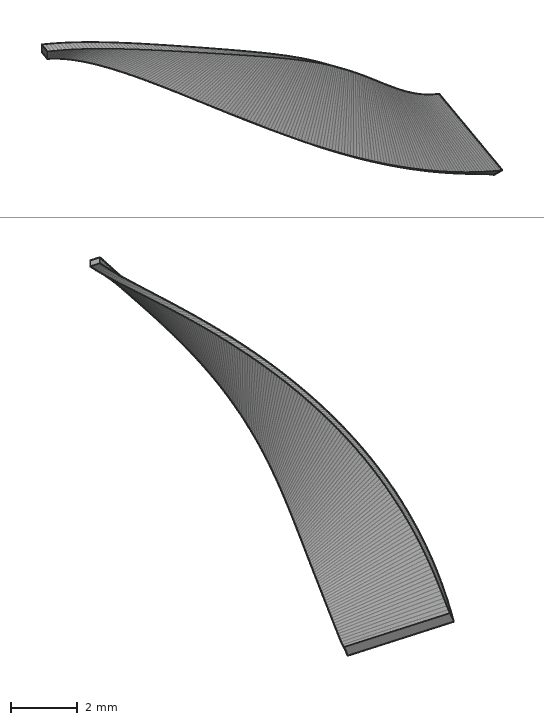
import cadquery as cq
import math

blade_depth = 11.65
blade_height = 7.16
root_right = 7.36
root_width = 3.38
tip_height = 0.4
thickness = 0.31
span_count = 160
quarter_turn = math.pi / 2
turn_power = 0.53

left_edge = [
    (root_right - root_width, blade_depth, 0.0),
    (4.07, 9.11, 1.61),
    (3.09, 8.9, 4.63),
    (4.32, 5.92, 5.69),
    (1.84, 3.33, 7.05),
    (thickness, 0.0, blade_height),
]
right_edge = [
    (root_right, blade_depth, 0.0),
    (7.46, 8.31, 2.31),
    (6.14, 5.6, 3.91),
    (3.89, 3.3, 6.05),
    (1.3, 1.64, 6.87),
    (thickness, 0.0, blade_height - tip_height),
]


def bezier_point(control_points, t):
    """Point at parameter t (0 at the root, 1 at the tip) of a Bezier curve."""
    degree = len(control_points) - 1
    point = cq.Vector(0, 0, 0)
    for i, control_point in enumerate(control_points):
        weight = math.comb(degree, i) * (1 - t) ** (degree - i) * t**i
        point += cq.Vector(*control_point) * weight
    return point


def thickness_vector(t):
    """Offset from the upper to the lower face: along -Y at the root, along -X at the tip."""
    angle = quarter_turn * t**turn_power
    return cq.Vector(-math.sin(angle), -math.cos(angle), 0) * thickness


def section(t):
    """Closed four-sided outline of the blade at parameter t."""
    left = bezier_point(left_edge, t)
    right = bezier_point(right_edge, t)
    offset = thickness_vector(t)
    return cq.Wire.makePolygon([left, right, right + offset, left + offset], close=True)


sections = [section(i / span_count) for i in range(span_count + 1)]
result = cq.Workplane(cq.Solid.makeLoft(sections, ruled=True))